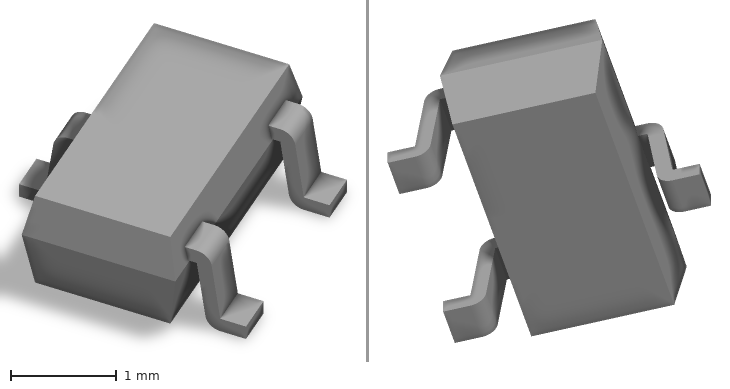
import cadquery as cq
import math

BODY_LENGTH = 2.9
BODY_WIDTH = 1.6
LEAD_SPAN = 2.8
TOTAL_HEIGHT = 1.2

STANDOFF = 0.102
PARTING_HEIGHT = 0.748
DRAFT_INSET = 0.095

LEAD_WIDTH = 0.4
LEAD_THICKNESS = 0.157
LEAD_TOP = 0.93
SHOULDER_REACH = 0.887
LEG_TILT = math.radians(8)
LEAD_OFFSET = 0.95
LEAD_EMBED = 0.29


def body_half(face_height):
    """Tapered half of the body, from the parting line to a smaller flat face."""
    return (
        cq.Workplane("XY", origin=(0, 0, PARTING_HEIGHT))
        .rect(BODY_WIDTH, BODY_LENGTH)
        .workplane(offset=face_height - PARTING_HEIGHT)
        .rect(BODY_WIDTH - 2 * DRAFT_INSET, BODY_LENGTH - 2 * DRAFT_INSET)
        .loft(ruled=True)
    )


def lead(y_centre):
    """Lead on the +X side. Both bends have a sharp inside corner and a round outside."""
    t = LEAD_THICKNESS

    def across_leg(angle):
        """Vector of one lead thickness, raised by an angle from +X."""
        return t * math.cos(angle), t * math.sin(angle)

    upper_x, upper_z = SHOULDER_REACH, LEAD_TOP - t
    leg_dx, leg_dz = across_leg(LEG_TILT)
    bend_mid_dx, bend_mid_dz = across_leg((LEG_TILT + math.pi / 2) / 2)

    lower_z = t
    leg_drop = upper_z + leg_dz - lower_z
    lower_x = upper_x + leg_dx + leg_drop * math.tan(LEG_TILT)

    inner_x = BODY_WIDTH / 2 - LEAD_EMBED
    tip_x = LEAD_SPAN / 2
    return (
        cq.Workplane("XZ", origin=(0, y_centre, 0))
        .moveTo(inner_x, LEAD_TOP)
        .lineTo(upper_x, LEAD_TOP)
        .threePointArc(
            (upper_x + bend_mid_dx, upper_z + bend_mid_dz),
            (upper_x + leg_dx, upper_z + leg_dz),
        )
        .lineTo(lower_x, lower_z)
        .lineTo(tip_x, lower_z)
        .lineTo(tip_x, 0)
        .lineTo(lower_x, 0)
        .threePointArc(
            (lower_x - bend_mid_dx, lower_z - bend_mid_dz),
            (lower_x - leg_dx, lower_z - leg_dz),
        )
        .lineTo(upper_x, upper_z)
        .lineTo(inner_x, upper_z)
        .close()
        .extrude(LEAD_WIDTH / 2, both=True)
    )


result = body_half(TOTAL_HEIGHT).union(body_half(STANDOFF))

for y_centre in (-LEAD_OFFSET, LEAD_OFFSET):
    result = result.union(lead(y_centre))

result = result.union(lead(0).mirror("YZ"))